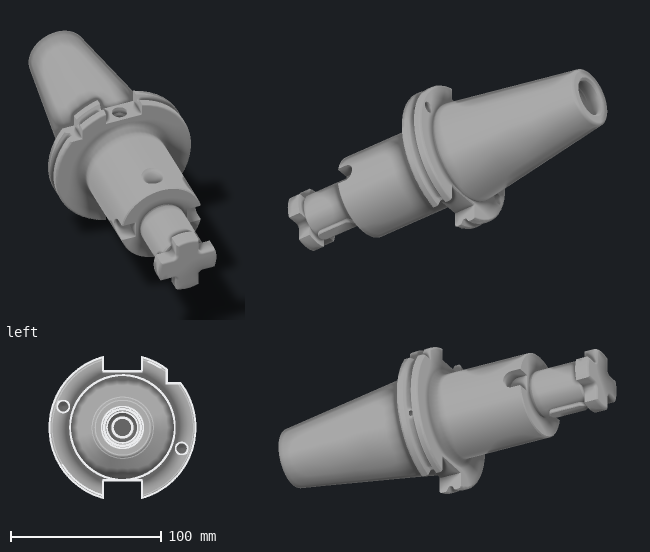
import cadquery as cq
import math

OVERALL_LENGTH = 234.8

GAUGE_RADIUS = 35.0
TAPER_LENGTH = 101.9
TAPER_RATIO = 7 / 24
SMALL_END_RADIUS = GAUGE_RADIUS - TAPER_LENGTH * TAPER_RATIO / 2
SMALL_END_FILLET = 2.0
BAND_LENGTH = 1.5
RELIEF_DEPTH = 0.2
RELIEF_RAMP = 0.7

FLANGE_START = 104.7
FLANGE_END = 120.7
FLANGE_DIAMETER = 97.5
FLANGE_RADIUS = FLANGE_DIAMETER / 2
RIM_FILLET = 1.6
GRIP_X = 113.0
GRIP_HALF_WIDTH = 3.0
GRIP_DEPTH = 3.3
GRIP_FLANK_ANGLE = 30.0
GRIP_ROOT_FILLET = 0.7
GRIP_FLOOR_HALF_WIDTH = GRIP_HALF_WIDTH - GRIP_DEPTH * math.tan(math.radians(GRIP_FLANK_ANGLE))
GRIP_FLOOR_RADIUS = FLANGE_RADIUS - GRIP_DEPTH

NOTCH_WIDTH = 25.8
TOP_NOTCH_HEIGHT = 37.8
BOTTOM_NOTCH_HEIGHT = 35.5
CORNER_NOTCH_OFFSET = 29.8
NOTCH_CHAMFER = 0.7
CHAMFER_ANGLE = 45.0

SEAT_RADIUS = 5.2
SEAT_DEPTH = 4.7
PILOT_RADIUS = 2.3
PILOT_DEPTH = 4.7
DRILL_POINT_ANGLE = 118.0

COOLANT_RADIUS = 4.0
COOLANT_CIRCLE_RADIUS = 41.8
COOLANT_ANGLES = (19.5, 199.5)
COOLANT_DEPTH = 9.9
GRIP_HOLE_RADIUS = 1.2
GRIP_HOLE_ANGLE = 60.0
GRIP_HOLE_DEPTH = 3.5

HUB_DIAMETER = 58.0
HUB_RADIUS = HUB_DIAMETER / 2
HUB_END = 187.5
HUB_FILLET = 4.7
HUB_CHAMFER = 0.7
SLOT_HALF_WIDTH = 6.0
SLOT_LENGTH = 12.5
SLOT_FLOOR_OFFSET = 18.3
DIMPLE_X = 172.0
DIMPLE_SPHERE_RADIUS = 9.2
DIMPLE_RISE = 4.2

ARBOR_RADIUS = 16.0
ARBOR_END = 225.1
ARBOR_CHAMFER = 1.0
UNDERCUT_WIDTH = 1.9
UNDERCUT_DEPTH = 0.5

BORE_MOUTH_RADIUS = 13.9
BORE_PILOT_RADIUS = 12.5
BORE_PILOT_LENGTH = 9.9
BORE_RELIEF_RADIUS = 12.0
BORE_RELIEF_LENGTH = 1.9
BORE_THREAD_RADIUS = 10.3
BORE_THREAD_END = 56.3

SCREW_RADIUS = 6.8
SCREW_START = 140.8
SCREW_TIP_CHAMFER = 0.5

KEY_START = 195.0
KEY_LENGTH = 28.0
KEY_WIDTH = 8.0
KEY_TOP_OFFSET = 18.3
KEY_SEAT_OFFSET = 12.0
KEY_CHAMFER = 0.5

HEAD_RADIUS = 21.0
LOBE_WIDTH = 16.0
LOBE_ROOT_FILLET = 2.8
HEAD_END_FILLET = 1.9
SELECTION_MARGIN = 0.2


def x_cylinder(start, end, radius):
    return cq.Workplane("YZ", origin=(start, 0, 0)).circle(radius).extrude(end - start)


def drill_tip_length(radius):
    return radius / math.tan(math.radians(DRILL_POINT_ANGLE / 2))


def turned_holder():
    """Taper, flange with grip groove, hub and arbor, all turned about X."""
    hub_root = HUB_RADIUS + HUB_FILLET
    band_end = TAPER_LENGTH + BAND_LENGTH
    relief_radius = GAUGE_RADIUS - RELIEF_DEPTH
    rim_edge = FLANGE_RADIUS - RIM_FILLET
    undercut_radius = ARBOR_RADIUS - UNDERCUT_DEPTH
    undercut_end = HUB_END + UNDERCUT_WIDTH

    flank = math.radians(GRIP_FLANK_ANGLE)
    setback = GRIP_ROOT_FILLET * math.tan((math.pi / 2 - flank) / 2)
    root_outer_half = GRIP_FLOOR_HALF_WIDTH + setback * math.sin(flank)
    root_inner_half = GRIP_FLOOR_HALF_WIDTH - setback
    root_radius = GRIP_FLOOR_RADIUS + setback * math.cos(flank)

    profile = (
        cq.Workplane("XY")
        .moveTo(0, 0)
        .lineTo(0, SMALL_END_RADIUS)
        .lineTo(TAPER_LENGTH, GAUGE_RADIUS)
        .lineTo(band_end, GAUGE_RADIUS)
        .lineTo(band_end + RELIEF_RAMP, relief_radius)
        .lineTo(FLANGE_START, relief_radius)
        .lineTo(FLANGE_START, rim_edge)
        .tangentArcPoint((FLANGE_START + RIM_FILLET, FLANGE_RADIUS), relative=False)
        .lineTo(GRIP_X - GRIP_HALF_WIDTH, FLANGE_RADIUS)
        .lineTo(GRIP_X - root_outer_half, root_radius)
        .tangentArcPoint((GRIP_X - root_inner_half, GRIP_FLOOR_RADIUS), relative=False)
        .lineTo(GRIP_X + root_inner_half, GRIP_FLOOR_RADIUS)
        .tangentArcPoint((GRIP_X + root_outer_half, root_radius), relative=False)
        .lineTo(GRIP_X + GRIP_HALF_WIDTH, FLANGE_RADIUS)
        .lineTo(FLANGE_END - RIM_FILLET, FLANGE_RADIUS)
        .tangentArcPoint((FLANGE_END, rim_edge), relative=False)
        .lineTo(FLANGE_END, hub_root)
        .tangentArcPoint((FLANGE_END + HUB_FILLET, HUB_RADIUS), relative=False)
        .lineTo(HUB_END - HUB_CHAMFER, HUB_RADIUS)
        .lineTo(HUB_END, HUB_RADIUS - HUB_CHAMFER)
        .lineTo(HUB_END, undercut_radius)
        .lineTo(undercut_end, undercut_radius)
        .lineTo(undercut_end, ARBOR_RADIUS)
        .lineTo(ARBOR_END - ARBOR_CHAMFER, ARBOR_RADIUS)
        .lineTo(ARBOR_END, ARBOR_RADIUS - ARBOR_CHAMFER)
        .lineTo(ARBOR_END, 0)
        .close()
    )
    blank = profile.revolve(360, (0, 0, 0), (1, 0, 0))
    return blank.faces("<X").edges().fillet(SMALL_END_FILLET)


def drawbar_bore():
    """Countersunk pilot, stepped relief and thread bore with a conical end at the screw hole."""
    mouth_chamfer = BORE_MOUTH_RADIUS - BORE_PILOT_RADIUS
    relief_start = BORE_PILOT_LENGTH + BORE_PILOT_RADIUS - BORE_RELIEF_RADIUS
    relief_end = BORE_PILOT_LENGTH + BORE_RELIEF_LENGTH
    thread_start = relief_end + BORE_RELIEF_RADIUS - BORE_THREAD_RADIUS
    return (
        cq.Workplane("XY")
        .polyline(
            [
                (0, 0),
                (0, BORE_MOUTH_RADIUS),
                (mouth_chamfer, BORE_PILOT_RADIUS),
                (BORE_PILOT_LENGTH, BORE_PILOT_RADIUS),
                (relief_start, BORE_RELIEF_RADIUS),
                (relief_end, BORE_RELIEF_RADIUS),
                (thread_start, BORE_THREAD_RADIUS),
                (BORE_THREAD_END, BORE_THREAD_RADIUS),
                (BORE_THREAD_END + drill_tip_length(BORE_THREAD_RADIUS), 0),
            ]
        )
        .close()
        .revolve(360, (0, 0, 0), (1, 0, 0))
    )


def floor_notch(height):
    """Drive notch on the +Z side, with its floor chamfered at the front flange face."""
    outer = height + FLANGE_RADIUS
    return (
        cq.Workplane("XZ", origin=(0, NOTCH_WIDTH / 2, 0))
        .polyline(
            [
                (FLANGE_START, outer),
                (FLANGE_START, height - NOTCH_CHAMFER),
                (FLANGE_START + NOTCH_CHAMFER, height),
                (FLANGE_END, height),
                (FLANGE_END, outer),
            ]
        )
        .close()
        .extrude(NOTCH_WIDTH)
    )


def corner_notch():
    """Orientation notch at -Y, +Z, flaring at the front flange face."""
    length = FLANGE_END - FLANGE_START
    size = FLANGE_RADIUS
    block = (
        cq.Workplane("XY", origin=(FLANGE_START, -CORNER_NOTCH_OFFSET - size, CORNER_NOTCH_OFFSET))
        .box(length, size, size, centered=False)
    )
    flare_offset = CORNER_NOTCH_OFFSET - NOTCH_CHAMFER
    flare = (
        cq.Workplane("YZ", origin=(FLANGE_START, 0, 0))
        .center(-flare_offset - size / 2, flare_offset + size / 2)
        .rect(size, size)
        .extrude(NOTCH_CHAMFER, taper=CHAMFER_ANGLE)
    )
    return block.union(flare)


def flange_notches():
    """Two drive notches across the flange and the corner notch."""
    top = floor_notch(TOP_NOTCH_HEIGHT)
    bottom = floor_notch(BOTTOM_NOTCH_HEIGHT).rotate((0, 0, 0), (1, 0, 0), 180)
    return top.union(bottom).union(corner_notch())


def notch_seat():
    """Stepped blind hole, with a drill point, in the top notch floor."""
    seat_floor = TOP_NOTCH_HEIGHT - SEAT_DEPTH
    pilot_floor = seat_floor - PILOT_DEPTH
    return (
        cq.Workplane("XZ")
        .polyline(
            [
                (0, TOP_NOTCH_HEIGHT),
                (SEAT_RADIUS, TOP_NOTCH_HEIGHT),
                (SEAT_RADIUS, seat_floor),
                (PILOT_RADIUS, seat_floor),
                (PILOT_RADIUS, pilot_floor),
                (0, pilot_floor - drill_tip_length(PILOT_RADIUS)),
            ]
        )
        .close()
        .revolve(360, (0, 0, 0), (0, 1, 0))
        .translate((GRIP_X, 0, 0))
    )


def coolant_hole(angle):
    """Blind axial hole in the front flange face that just breaks into the grip groove."""
    floor = FLANGE_START + COOLANT_DEPTH
    hole = (
        cq.Workplane("XY")
        .polyline(
            [
                (FLANGE_START, 0),
                (FLANGE_START, COOLANT_RADIUS),
                (floor, COOLANT_RADIUS),
                (floor + drill_tip_length(COOLANT_RADIUS), 0),
            ]
        )
        .close()
        .revolve(360, (0, 0, 0), (1, 0, 0))
    )
    return hole.translate((0, COOLANT_CIRCLE_RADIUS, 0)).rotate((0, 0, 0), (1, 0, 0), angle)


def grip_hole():
    """Small radial hole in the groove floor."""
    hole = (
        cq.Workplane("XZ", origin=(GRIP_X, FLANGE_RADIUS, 0))
        .circle(GRIP_HOLE_RADIUS)
        .extrude(GRIP_DEPTH + GRIP_HOLE_DEPTH)
    )
    return hole.rotate((0, 0, 0), (1, 0, 0), GRIP_HOLE_ANGLE)


def hub_slots():
    """Round-ended drive slots in both sides of the hub, open at its end face."""
    arc_centre = HUB_END - SLOT_LENGTH + SLOT_HALF_WIDTH
    slots = (
        cq.Workplane("XZ")
        .moveTo(HUB_END, SLOT_HALF_WIDTH)
        .lineTo(arc_centre, SLOT_HALF_WIDTH)
        .threePointArc((HUB_END - SLOT_LENGTH, 0), (arc_centre, -SLOT_HALF_WIDTH))
        .lineTo(HUB_END, -SLOT_HALF_WIDTH)
        .close()
        .extrude(HUB_RADIUS, both=True)
    )
    core = cq.Workplane("XY").box(OVERALL_LENGTH * 2, SLOT_FLOOR_OFFSET * 2, HUB_RADIUS * 2)
    return slots.cut(core)


def hub_dimple():
    """Spherical dimple on top of the hub."""
    return cq.Workplane("XY").sphere(DIMPLE_SPHERE_RADIUS).translate((DIMPLE_X, 0, HUB_RADIUS + DIMPLE_RISE))


def screw_shank():
    """Plain shank with a chamfered tip."""
    shank = x_cylinder(SCREW_START, ARBOR_END, SCREW_RADIUS)
    return shank.faces("<X").edges().chamfer(SCREW_TIP_CHAMFER)


def make_key():
    """Round-ended feather key under the arbor, chamfered on its outer face."""
    blank = (
        cq.Workplane("XY", origin=(KEY_START + KEY_LENGTH / 2, 0, -KEY_TOP_OFFSET))
        .slot2D(KEY_LENGTH, KEY_WIDTH)
        .extrude(KEY_TOP_OFFSET - KEY_SEAT_OFFSET)
    )
    return blank.faces("<Z").edges().chamfer(KEY_CHAMFER)


def make_screw():
    """Clamping screw: plain shank and a head with four lobes."""
    head_length = OVERALL_LENGTH - ARBOR_END
    plane = cq.Workplane("YZ", origin=(ARBOR_END, 0, 0))
    span = HEAD_RADIUS * 2
    cross = plane.rect(span, LOBE_WIDTH).extrude(head_length)
    cross = cross.union(plane.rect(LOBE_WIDTH, span).extrude(head_length))
    reach = LOBE_WIDTH / 2 + SELECTION_MARGIN
    roots = cq.selectors.BoxSelector((ARBOR_END, -reach, -reach), (OVERALL_LENGTH, reach, reach))
    cross = cross.edges("|X").edges(roots).fillet(LOBE_ROOT_FILLET)
    head = cross.intersect(x_cylinder(ARBOR_END, OVERALL_LENGTH, HEAD_RADIUS))
    head = head.faces(">X").edges().fillet(HEAD_END_FILLET)
    return head.union(screw_shank())


def make_holder(key):
    """Holder body with seats for the key and the screw."""
    body = turned_holder().cut(drawbar_bore())
    body = body.cut(x_cylinder(BORE_THREAD_END, ARBOR_END, SCREW_RADIUS))
    body = body.cut(flange_notches()).cut(notch_seat()).cut(grip_hole())
    for angle in COOLANT_ANGLES:
        body = body.cut(coolant_hole(angle))
    return body.cut(hub_slots()).cut(hub_dimple()).cut(key)


key = make_key()
screw = make_screw()
holder = make_holder(key)

result = cq.Compound.makeCompound([body.solids().val() for body in (holder, key, screw)])